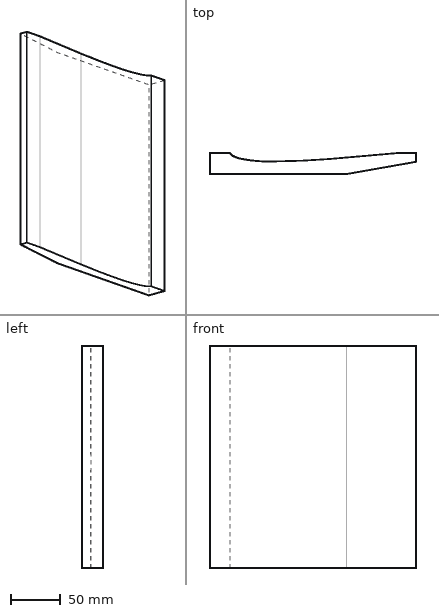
import cadquery as cq
import math

LENGTH = 207.64
DEPTH = 21.38
HEIGHT = 223.52

FRONT_FLAT_LENGTH = 137.4
TAPER_ANGLE = 10.0

THICK_LAND_LENGTH = 20.3
THIN_LAND_START = 188.5
RAMP_ANGLE = 5.0
RAMP_START = 120.0
HOLLOW_FLOOR_X = 72.0
HOLLOW_FLOOR_DEPTH = 8.5
HOLLOW_KNEE_X = 36.0
HOLLOW_KNEE_DEPTH = 6.85
HOLLOW_ENTRY_ANGLE = 62.0


def ramp_y(x):
    """Y of the straight ramp on the back face at a given X."""
    return DEPTH - (THIN_LAND_START - x) * math.tan(math.radians(RAMP_ANGLE))


def direction(angle):
    """Unit vector in the profile plane at an angle from +X, in degrees."""
    return (math.cos(math.radians(angle)), math.sin(math.radians(angle)))


def make_profile():
    """Closed cross-section in the XY plane, constant along the height."""
    taper_rise = (LENGTH - FRONT_FLAT_LENGTH) * math.tan(math.radians(TAPER_ANGLE))
    hollow_end = (RAMP_START, ramp_y(RAMP_START))
    hollow_floor = (HOLLOW_FLOOR_X, DEPTH - HOLLOW_FLOOR_DEPTH)
    hollow_knee = (HOLLOW_KNEE_X, DEPTH - HOLLOW_KNEE_DEPTH)
    hollow_start = (THICK_LAND_LENGTH, DEPTH)
    return (
        cq.Workplane("XY")
        .lineTo(FRONT_FLAT_LENGTH, 0)
        .lineTo(LENGTH, taper_rise)
        .lineTo(LENGTH, DEPTH)
        .lineTo(THIN_LAND_START, DEPTH)
        .lineTo(*hollow_end)
        .spline(
            [hollow_floor, hollow_knee, hollow_start],
            tangents=[direction(180 + RAMP_ANGLE), direction(180 - HOLLOW_ENTRY_ANGLE)],
            includeCurrent=True,
        )
        .lineTo(0, DEPTH)
        .close()
    )


result = make_profile().extrude(HEIGHT)